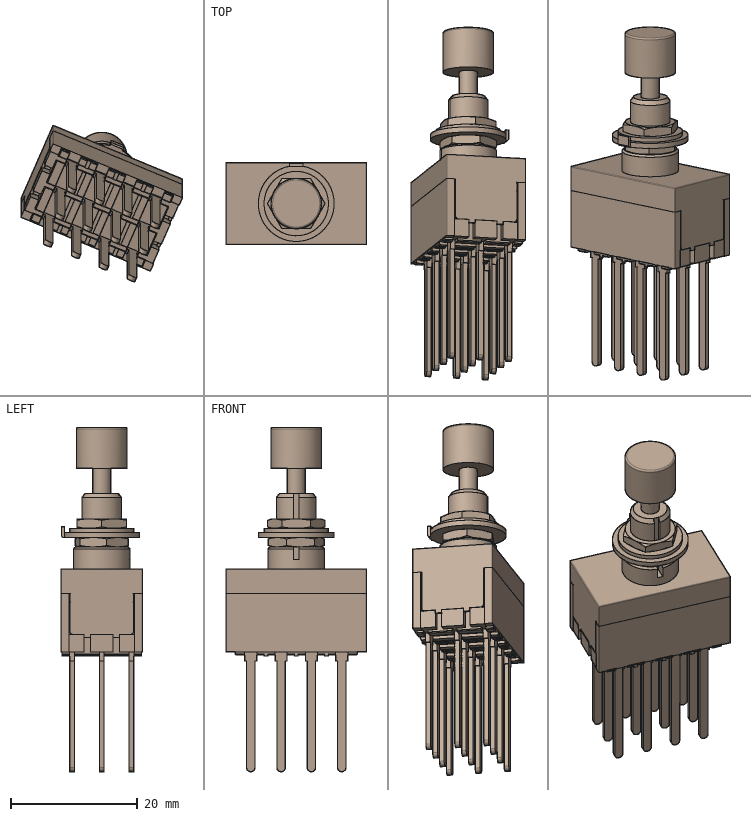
import cadquery as cq
import math

TOTAL_HEIGHT = 54.55
CAP_BOTTOM = 48.05
BUSHING_TOP = 44.1
NUT_HEIGHT = 1.5
UPPER_NUT_TOP = 40.05
LOCK_WASHER_TOP = UPPER_NUT_TOP - NUT_HEIGHT
TAB_WASHER_TOP = 37.9
LOWER_NUT_TOP = 37.1
COLLAR_TOP = LOWER_NUT_TOP - NUT_HEIGHT
HOUSING_TOP = 32.15
FRAME_BOTTOM = 28.2
HOUSING_BOTTOM = 19.0

CAP_DIAMETER = 8.0
CAP_ROUNDING = 0.3
PLUNGER_DIAMETER = 2.9
BUSHING_DIAMETER = 6.35
BUSHING_TOP_DIAMETER = 5.35
BUSHING_CHAMFER_HEIGHT = 0.65
COLLAR_DIAMETER = 9.0
COLLAR_CHAMFER = 0.35
KEYWAY_WIDTH = 0.9
KEYWAY_FLOOR_RADIUS = 2.6
KEYWAY_BOTTOM = 33.6

UPPER_NUT_ACROSS_FLATS = 7.9
LOWER_NUT_ACROSS_FLATS = 7.8
NUT_CORNER_DROP = 0.2
LOWER_NUT_TURN = 10.0
LOCK_WASHER_DIAMETER = 10.2
TAB_WASHER_DIAMETER = 12.0
TAB_WIDTH = 2.2
TAB_THICKNESS = 0.5
TAB_TOP = 38.85
TAB_REACH = 6.4

LENGTH = 22.3
WIDTH = 13.0
EDGE_ROUNDING = 0.1
WALL_THICKNESS = 1.3
CHANNEL_WIDTH = WIDTH - 2 * WALL_THICKNESS
TONGUE_THICKNESS = 0.5
TONGUE_GAP = 0.15
TONGUE_BOTTOM = 21.75
TONGUE_ROUNDING = 0.45
SLOT_Y = 2.3
SLOT_WIDTH = 1.05
SLOT_DEPTH = 1.5
TOOTH_HEIGHT = 0.5
CORE_LENGTH = LENGTH - 2 * TONGUE_THICKNESS
LUG_SETBACK = 0.1

SKIRT_LENGTH = LENGTH - 2 * SLOT_DEPTH
SKIRT_WIDTH = 12.65
SKIRT_HEIGHT = 0.5
SKIRT_CHAMFER = 0.15
RIB_WIDTH = 0.6
RIB_HEIGHT = 0.15
PIN_COLUMNS = 4
PIN_ROWS = 3
PIN_PITCH_X = 4.8
PIN_PITCH_Y = 4.7
PIN_WIDTH = 1.35
PIN_THICKNESS = 0.75
SHOULDER_WIDTH = 1.9
SHOULDER_BOTTOM = 17.5


def cylinder(diameter, bottom, top):
    return cq.Workplane("XY").workplane(offset=bottom).circle(diameter / 2).extrude(top - bottom)


def block(length, width, bottom, top, x=0.0, y=0.0):
    base = cq.Workplane("XY").workplane(offset=bottom).center(x, y)
    return base.rect(length, width).extrude(top - bottom)


def make_cap():
    cap = cylinder(CAP_DIAMETER, CAP_BOTTOM, TOTAL_HEIGHT)
    return cap.faces(">Z").edges().fillet(CAP_ROUNDING)


def make_plunger():
    return cylinder(PLUNGER_DIAMETER, HOUSING_TOP, CAP_BOTTOM)


def make_bushing():
    """Threaded barrel on a wider collar, bored for the plunger and slotted along its -Y side."""
    collar = cylinder(COLLAR_DIAMETER, HOUSING_TOP, COLLAR_TOP).faces(">Z").edges().chamfer(COLLAR_CHAMFER)
    barrel = cylinder(BUSHING_DIAMETER, COLLAR_TOP, BUSHING_TOP)
    top_step = (BUSHING_DIAMETER - BUSHING_TOP_DIAMETER) / 2
    barrel = barrel.faces(">Z").edges().chamfer(BUSHING_CHAMFER_HEIGHT, top_step)
    bore = cylinder(PLUNGER_DIAMETER, HOUSING_TOP, BUSHING_TOP)
    keyway_length = COLLAR_DIAMETER / 2 - KEYWAY_FLOOR_RADIUS
    keyway_y = -(COLLAR_DIAMETER / 2 + KEYWAY_FLOOR_RADIUS) / 2
    keyway = block(KEYWAY_WIDTH, keyway_length, KEYWAY_BOTTOM, BUSHING_TOP, y=keyway_y)
    return collar.union(barrel).cut(bore).cut(keyway)


def make_nut(across_flats, top, turn):
    """Hexagonal nut with its corners bevelled at both ends; turn rotates it about Z."""
    corner_diameter = across_flats / math.cos(math.pi / 6)
    bottom = top - NUT_HEIGHT
    nut = cq.Workplane("XY").workplane(offset=bottom).polygon(6, corner_diameter).extrude(NUT_HEIGHT)
    flat_radius = across_flats / 2
    corner_radius = corner_diameter / 2
    bevel_profile = [
        (0, bottom),
        (flat_radius, bottom),
        (corner_radius, bottom + NUT_CORNER_DROP),
        (corner_radius, top - NUT_CORNER_DROP),
        (flat_radius, top),
        (0, top),
    ]
    bevel = cq.Workplane("XZ").polyline(bevel_profile).close().revolve(360, (0, 0), (0, 1))
    nut = nut.intersect(bevel).cut(cylinder(BUSHING_DIAMETER, bottom, top))
    return nut.rotate((0, 0, 0), (0, 0, 1), turn)


def make_lock_washer():
    washer = cylinder(LOCK_WASHER_DIAMETER, TAB_WASHER_TOP, LOCK_WASHER_TOP)
    return washer.cut(cylinder(BUSHING_DIAMETER, TAB_WASHER_TOP, LOCK_WASHER_TOP))


def make_tab_washer():
    """Flat washer with a tab bent upwards at its +Y edge."""
    washer = cylinder(TAB_WASHER_DIAMETER, LOWER_NUT_TOP, TAB_WASHER_TOP)
    inner_face = TAB_REACH - TAB_THICKNESS
    tab_root = TAB_WASHER_DIAMETER / 2 - TAB_WIDTH / 2
    tab_profile = [
        (tab_root, LOWER_NUT_TOP),
        (TAB_REACH - TAB_THICKNESS / 2, LOWER_NUT_TOP),
        (TAB_REACH, LOWER_NUT_TOP + TAB_THICKNESS / 2),
        (TAB_REACH, TAB_TOP),
        (inner_face, TAB_TOP),
        (inner_face, TAB_WASHER_TOP),
        (tab_root, TAB_WASHER_TOP),
    ]
    tab = cq.Workplane("YZ").polyline(tab_profile).close().extrude(TAB_WIDTH / 2, both=True)
    return washer.union(tab).cut(cylinder(BUSHING_DIAMETER, LOWER_NUT_TOP, TAB_WASHER_TOP))


def make_frame():
    """Cover plate with a toothed tongue reaching down each X end."""
    frame = block(LENGTH, WIDTH, FRAME_BOTTOM, HOUSING_TOP)
    frame = frame.edges("|Z or >Z").fillet(EDGE_ROUNDING)
    tongue_width = CHANNEL_WIDTH - 2 * TONGUE_GAP
    tongue_x = (LENGTH - TONGUE_THICKNESS) / 2
    for side in (-1, 1):
        tongue = block(TONGUE_THICKNESS, tongue_width, TONGUE_BOTTOM, FRAME_BOTTOM, x=side * tongue_x)
        tongue = tongue.edges("|X and <Z").fillet(TONGUE_ROUNDING)
        for y in (-SLOT_Y, SLOT_Y):
            tooth_bottom = TONGUE_BOTTOM - TOOTH_HEIGHT
            tooth = block(TONGUE_THICKNESS, SLOT_WIDTH, tooth_bottom, TONGUE_BOTTOM, side * tongue_x, y)
            tongue = tongue.union(tooth)
        frame = frame.union(tongue)
    return frame


def make_case():
    """Inverted channel: two long side walls joined by a web under the frame."""
    case = block(LENGTH, WIDTH, HOUSING_BOTTOM, FRAME_BOTTOM).edges("|Z").fillet(EDGE_ROUNDING)
    web_bottom = FRAME_BOTTOM - WALL_THICKNESS
    case = case.cut(block(LENGTH, CHANNEL_WIDTH, HOUSING_BOTTOM, web_bottom))
    tongue_x = (LENGTH - TONGUE_THICKNESS) / 2
    for side in (-1, 1):
        case = case.cut(block(TONGUE_THICKNESS, CHANNEL_WIDTH, web_bottom, FRAME_BOTTOM, x=side * tongue_x))
    return case


def make_terminal():
    """Flat terminal with a wide shoulder and a fully rounded tip, standing on Z = 0."""
    tip_radius = PIN_WIDTH / 2
    half_shoulder = SHOULDER_WIDTH / 2
    outline = (
        cq.Workplane("XZ")
        .moveTo(-tip_radius, tip_radius)
        .threePointArc((0, 0), (tip_radius, tip_radius))
        .lineTo(tip_radius, SHOULDER_BOTTOM)
        .lineTo(half_shoulder, SHOULDER_BOTTOM)
        .lineTo(half_shoulder, HOUSING_BOTTOM)
        .lineTo(-half_shoulder, HOUSING_BOTTOM)
        .lineTo(-half_shoulder, SHOULDER_BOTTOM)
        .lineTo(-tip_radius, SHOULDER_BOTTOM)
        .close()
    )
    return outline.extrude(PIN_THICKNESS / 2, both=True)


def centred_steps(count, pitch):
    """Positions of evenly spaced items, centred on zero."""
    return [(index - (count - 1) / 2) * pitch for index in range(count)]


def make_skirt():
    """Thin pad with a rib between terminal columns and a channel along each line of terminals."""
    bottom = HOUSING_BOTTOM - SKIRT_HEIGHT
    rib_bottom = bottom - RIB_HEIGHT
    skirt = block(SKIRT_LENGTH, SKIRT_WIDTH, bottom, HOUSING_BOTTOM)
    skirt = skirt.faces("<Z").edges().chamfer(SKIRT_CHAMFER)
    for x in centred_steps(PIN_COLUMNS - 1, PIN_PITCH_X):
        skirt = skirt.union(block(RIB_WIDTH, SKIRT_WIDTH, rib_bottom, HOUSING_BOTTOM, x=x))
    for x in centred_steps(PIN_COLUMNS, PIN_PITCH_X):
        skirt = skirt.cut(block(SHOULDER_WIDTH, SKIRT_WIDTH, bottom, HOUSING_BOTTOM, x=x))
    for y in centred_steps(PIN_ROWS, PIN_PITCH_Y):
        skirt = skirt.cut(block(SKIRT_LENGTH, PIN_THICKNESS, rib_bottom, HOUSING_BOTTOM, y=y))
    return skirt


def make_terminal_base():
    """Insulating block inside the case, with end slots, an underside skirt and terminals."""
    base = block(CORE_LENGTH, CHANNEL_WIDTH, HOUSING_BOTTOM, FRAME_BOTTOM - WALL_THICKNESS)
    lug_length = LENGTH - 2 * LUG_SETBACK
    base = base.union(block(lug_length, CHANNEL_WIDTH, HOUSING_BOTTOM, TONGUE_BOTTOM))

    slot_x = (LENGTH - SLOT_DEPTH) / 2
    for x in (-slot_x, slot_x):
        for y in (-SLOT_Y, SLOT_Y):
            base = base.cut(block(SLOT_DEPTH, SLOT_WIDTH, HOUSING_BOTTOM, TONGUE_BOTTOM, x, y))

    base = base.union(make_skirt())
    terminal = make_terminal()
    for x in centred_steps(PIN_COLUMNS, PIN_PITCH_X):
        for y in centred_steps(PIN_ROWS, PIN_PITCH_Y):
            base = base.union(terminal.translate((x, y, 0)))
    return base


cap = make_cap()
plunger = make_plunger()
bushing = make_bushing()
upper_nut = make_nut(UPPER_NUT_ACROSS_FLATS, UPPER_NUT_TOP, 0.0)
lock_washer = make_lock_washer()
tab_washer = make_tab_washer()
lower_nut = make_nut(LOWER_NUT_ACROSS_FLATS, LOWER_NUT_TOP, LOWER_NUT_TURN)
frame = make_frame()
case = make_case()
terminal_base = make_terminal_base()

result = cq.Compound.makeCompound([
    cap.val(),
    plunger.val(),
    bushing.val(),
    upper_nut.val(),
    lock_washer.val(),
    tab_washer.val(),
    lower_nut.val(),
    frame.val(),
    case.val(),
    terminal_base.val(),
])